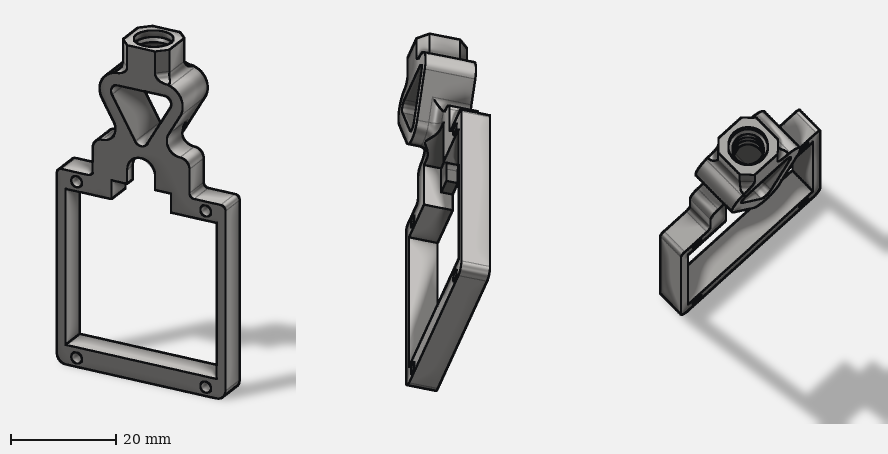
import cadquery as cq
import math

height = 69.65
frame_width = 36.4
frame_depth = 5.7
head_depth = 10.0

margin = 0.1

frame_top = height - 29.0
frame_top_round = 1.05
frame_bottom_round = 2.0
window_width = 32.6
window_bottom = 4.1
window_top = height - 32.95
hole_diameter = 2.3
hole_x = 13.9
hole_heights = (1.9, height - 30.9)

shoulder_half = 10.45
shoulder_top = height - 21.0
shoulder_round = 2.0
shoulder_foot_round = 1.0
notch_width = 12.8
arch_radius = 3.0
arch_web = 2.3
arch_center_z = height - 26.0
waist_radius = 2.85

triangle_half = 5.0
triangle_top = height - 10.3
triangle_tip = triangle_top - triangle_half * math.sqrt(3)
outer_radius = 4.0
inner_radius = 1.45
head_to_frame_fillet = 2.0

neck_width = 10.0
neck_chamfer = 2.0
neck_fillet = 1.8
bore_radius = 3.0
ring_groove_radius = 3.75
ring_pitch = 2.1
ring_wall = 1.4
ring_count = 3
ring_slope = 0.4


def block(x_size, z_low, z_high, depth):
    """Box centred on X, from the front face back."""
    base = cq.Workplane("XY").workplane(offset=z_low)
    return base.box(x_size, depth, z_high - z_low, centered=(True, False, False))


def rounded_triangle(radius):
    """Downward-pointing triangle through the head with corners of the given radius."""
    across = radius * math.cos(math.radians(30))
    drop = radius / 2
    return (
        cq.Workplane("XZ")
        .moveTo(-triangle_half, triangle_top + radius)
        .lineTo(triangle_half, triangle_top + radius)
        .threePointArc(
            (triangle_half + across, triangle_top + drop),
            (triangle_half + across, triangle_top - drop),
        )
        .lineTo(across, triangle_tip - drop)
        .threePointArc((0, triangle_tip - radius), (-across, triangle_tip - drop))
        .lineTo(-triangle_half - across, triangle_top - drop)
        .threePointArc(
            (-triangle_half - across, triangle_top + drop),
            (-triangle_half, triangle_top + radius),
        )
        .close()
        .extrude(-head_depth)
    )


def make_frame():
    """Frame plate and shoulder, before its openings are cut."""
    plate = block(frame_width, 0, frame_top, frame_depth)
    plate = plate.edges("|Y and <Z").fillet(frame_bottom_round)
    plate = plate.edges("|Y and >Z").fillet(frame_top_round)
    shoulder = block(2 * shoulder_half, window_top, shoulder_top, frame_depth)
    shoulder = shoulder.edges("|Y and >Z").fillet(shoulder_round)
    plate = plate.union(shoulder)
    feet = cq.selectors.BoxSelector(
        (-shoulder_half - margin, -margin, frame_top - margin),
        (shoulder_half + margin, frame_depth + margin, frame_top + margin),
    )
    return plate.edges("|Y").edges(feet).fillet(shoulder_foot_round)


def make_waist():
    """Web whose concave sides blend the head into the top of the shoulder."""
    center_z = shoulder_top + waist_radius
    reach = outer_radius + waist_radius
    slope = math.radians(30)
    center_x = (reach + (center_z - triangle_tip) * math.sin(slope)) / math.cos(slope)
    touch_x = center_x - waist_radius * math.cos(slope)
    touch_z = center_z + waist_radius * math.sin(slope)
    mid_x = center_x - waist_radius * math.cos(slope)
    mid_z = center_z - waist_radius * math.sin(slope)
    return (
        cq.Workplane("XZ")
        .moveTo(-center_x, shoulder_top)
        .threePointArc((-mid_x, mid_z), (-touch_x, touch_z))
        .lineTo(touch_x, touch_z)
        .threePointArc((mid_x, mid_z), (center_x, shoulder_top))
        .close()
        .extrude(-frame_depth)
    )


def flared_slab(half_width, low_x, low_z, arc_center_z):
    """Slab of the neck's half width, flaring through concave arcs down to (low_x, low_z)."""
    arc_center_x = half_width + neck_fillet
    foot_half = head_depth
    start_angle = math.pi
    end_angle = math.atan2(low_z - arc_center_z, low_x - arc_center_x) % (2 * math.pi)
    mid_angle = (start_angle + end_angle) / 2
    mid_x = arc_center_x + neck_fillet * math.cos(mid_angle)
    mid_z = arc_center_z + neck_fillet * math.sin(mid_angle)
    return (
        cq.Workplane("XZ")
        .moveTo(-half_width, height)
        .lineTo(half_width, height)
        .lineTo(half_width, arc_center_z)
        .threePointArc((mid_x, mid_z), (low_x, low_z))
        .lineTo(foot_half, low_z)
        .lineTo(foot_half, triangle_top)
        .lineTo(-foot_half, triangle_top)
        .lineTo(-foot_half, low_z)
        .lineTo(-low_x, low_z)
        .threePointArc((-mid_x, mid_z), (-half_width, arc_center_z))
        .close()
        .extrude(head_depth, both=True)
    )


def make_neck():
    """Octagonal neck whose sides and chamfers flare out onto the head."""
    half = neck_width / 2
    reach = outer_radius + neck_fillet
    side_center_x = half + neck_fillet
    offset_x = side_center_x - triangle_half
    side_center_z = triangle_top + math.sqrt(reach**2 - offset_x**2)
    touch = outer_radius / reach
    touch_x = triangle_half + offset_x * touch
    touch_z = triangle_top + (side_center_z - triangle_top) * touch
    neck = flared_slab(half, touch_x, touch_z, side_center_z)
    neck = neck.intersect(cq.Workplane("XY").box(2 * touch_x, head_depth, 2 * height))

    diagonal_half = (neck_width - neck_chamfer) / math.sqrt(2)
    head_flat = triangle_top + outer_radius
    diagonal = flared_slab(
        diagonal_half, diagonal_half + neck_fillet, head_flat, head_flat + neck_fillet
    )
    for angle in (45, -45):
        neck = neck.intersect(diagonal.rotate((0, 0, 0), (0, 0, 1), angle))
    return neck.translate((0, head_depth / 2, 0))


def make_bore():
    """Bore down to the window, widened by evenly spaced ring grooves."""
    depth = height - triangle_top
    bore = cq.Workplane("XY").circle(bore_radius).extrude(depth)
    profile = cq.Workplane("XZ").moveTo(0, depth)
    for index in range(ring_count):
        groove_top = depth - index * ring_pitch
        slope = ring_slope if index else 0
        profile = profile.lineTo(ring_groove_radius, groove_top - slope)
        profile = profile.lineTo(ring_groove_radius, groove_top - ring_wall)
        profile = profile.lineTo(bore_radius, groove_top - ring_pitch)
    profile = profile.lineTo(0, depth - ring_count * ring_pitch).close()
    grooves = profile.revolve(360, (0, 0, 0), (0, 1, 0))
    return bore.union(grooves).translate((0, head_depth / 2, triangle_top))


def make_openings():
    """Window, notch, arch and screw holes of the frame."""
    cut = block(window_width, window_bottom, window_top, head_depth)
    cut = cut.union(block(notch_width, window_bottom, frame_top, head_depth))
    cut = cut.union(block(2 * arch_radius, window_bottom, arch_center_z, head_depth))
    arch = cq.Workplane("XZ").center(0, arch_center_z).circle(arch_radius).extrude(-head_depth)
    cut = cut.union(arch)
    pocket = block(notch_width, window_bottom, arch_center_z + arch_radius, head_depth)
    cut = cut.union(pocket.translate((0, arch_web, 0)))
    centers = [(side * hole_x, z) for side in (-1, 1) for z in hole_heights]
    holes = cq.Workplane("XZ").pushPoints(centers).circle(hole_diameter / 2).extrude(-head_depth)
    return cut.union(holes)


body = make_frame().union(make_waist()).union(rounded_triangle(outer_radius))
foot_edges = cq.selectors.BoxSelector(
    (-notch_width / 2, frame_depth - margin, triangle_tip - outer_radius - margin),
    (notch_width / 2, frame_depth + margin, shoulder_top + 2 * waist_radius),
    boundingbox=True,
)
body = body.edges(foot_edges).fillet(head_to_frame_fillet)

result = (
    body.union(make_neck())
    .cut(make_openings())
    .cut(rounded_triangle(inner_radius))
    .cut(make_bore())
)